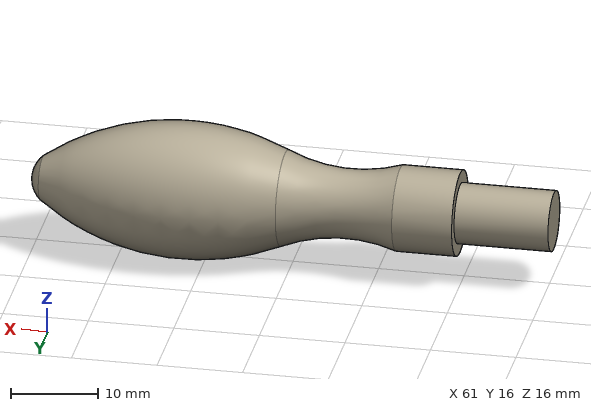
import cadquery as cq
import math

total_length = 61.0
collar_start = 11.0
collar_end = 18.0
neck_x = 24.0
belly_x = 43.0
tip_start = 59.8

pin_radius = 3.55
collar_radius = 5.0
neck_radius = 4.0
belly_radius = 8.0


def radius_of_arc(run, rise):
    """Radius of an arc that is level at one end and moves by run along and rise across.

    For an S-curve of two tangent arcs, level at both ends, it gives the sum of their radii.
    """
    return (run**2 + rise**2) / (2 * rise)


neck_arc = radius_of_arc(neck_x - collar_end, collar_radius - neck_radius)

center_distance = radius_of_arc(belly_x - neck_x, belly_radius - neck_radius)
belly_arc = center_distance - neck_arc
belly_center_r = belly_radius - belly_arc
flare_angle = math.asin((belly_x - neck_x) / center_distance)
flare_end = (
    belly_x - belly_arc * math.sin(flare_angle),
    belly_center_r + belly_arc * math.cos(flare_angle),
)

tip_edge_radius = belly_center_r + math.sqrt(belly_arc**2 - (tip_start - belly_x)**2)
tip_arc = radius_of_arc(tip_edge_radius, total_length - tip_start)

profile = (
    cq.Workplane("XY")
    .moveTo(0, 0)
    .lineTo(0, pin_radius)
    .lineTo(collar_start, pin_radius)
    .lineTo(collar_start, collar_radius)
    .lineTo(collar_end, collar_radius)
    .radiusArc((neck_x, neck_radius), -neck_arc)
    .radiusArc(flare_end, -neck_arc)
    .radiusArc((tip_start, tip_edge_radius), belly_arc)
    .radiusArc((total_length, 0), tip_arc)
    .close()
)
result = profile.revolve(360, (0, 0, 0), (1, 0, 0))